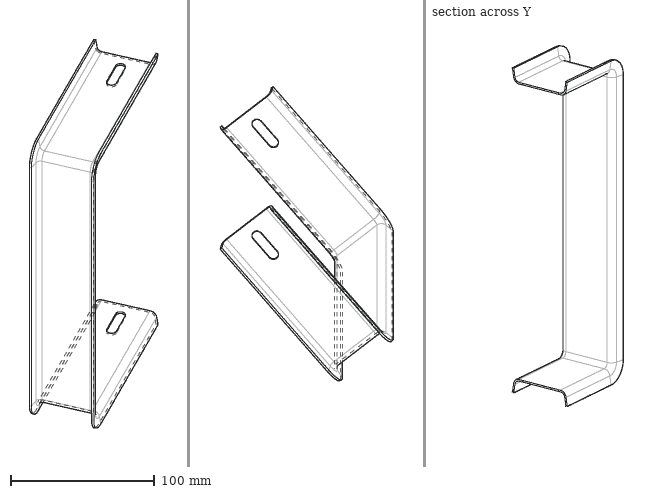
import cadquery as cq
import math

width = 47.9
leg_length = 133.0
height = 243.0

thickness = 1.6
channel_depth = 11.2
fold_inner_radius = 3.5
flange_splay = math.radians(9)

corner_radius = 14.8

slot_width = 7.0
slot_length = 25.0
slot_end_margin = 8.0

fold_outer_radius = fold_inner_radius + thickness
splay_sin = math.sin(flange_splay)
splay_cos = math.cos(flange_splay)
flange_length = (channel_depth - fold_outer_radius + fold_inner_radius * splay_sin) / splay_cos
fold_center_x = width / 2 - fold_outer_radius * splay_cos - flange_length * splay_sin

web_z = height / 2 - channel_depth


def fold_point(radius, angle, along_flange=0.0):
    """Right-hand section point: around the fold, then along the flange."""
    x = fold_center_x + radius * math.cos(angle) + along_flange * splay_sin
    depth = fold_outer_radius - radius * math.sin(angle) + along_flange * splay_cos
    return x, web_z + depth


def mirrored(point):
    return -point[0], point[1]


def channel_section():
    """Closed channel outline on the end face of the upper leg."""
    web_angle = math.pi / 2
    middle_angle = (web_angle + flange_splay) / 2
    outer = [fold_point(fold_outer_radius, a) for a in (web_angle, middle_angle, flange_splay)]
    inner = [fold_point(fold_inner_radius, a) for a in (flange_splay, middle_angle, web_angle)]
    outer_tip = fold_point(fold_outer_radius, flange_splay, flange_length)
    inner_tip = fold_point(fold_inner_radius, flange_splay, flange_length)

    end_plane = cq.Plane(origin=(0, leg_length, 0), xDir=(1, 0, 0), normal=(0, -1, 0))
    return (
        cq.Workplane(end_plane)
        .moveTo(*mirrored(outer[0]))
        .lineTo(*outer[0])
        .threePointArc(outer[1], outer[2])
        .lineTo(*outer_tip)
        .lineTo(*inner_tip)
        .lineTo(*inner[0])
        .threePointArc(inner[1], inner[2])
        .lineTo(*mirrored(inner[2]))
        .threePointArc(mirrored(inner[1]), mirrored(inner[0]))
        .lineTo(*mirrored(inner_tip))
        .lineTo(*mirrored(outer_tip))
        .lineTo(*mirrored(outer[2]))
        .threePointArc(mirrored(outer[1]), mirrored(outer[0]))
        .close()
    )


def bracket_path():
    """Upper leg, back and lower leg along the web face inside the U."""
    path_radius = corner_radius - channel_depth
    back_end_z = web_z - path_radius
    return (
        cq.Workplane("YZ")
        .moveTo(leg_length, web_z)
        .lineTo(corner_radius, web_z)
        .radiusArc((channel_depth, back_end_z), -path_radius)
        .lineTo(channel_depth, -back_end_z)
        .radiusArc((corner_radius, -web_z), -path_radius)
        .lineTo(leg_length, -web_z)
    )


def slot_cutter():
    """Vertical slot passing through both legs."""
    center_y = leg_length - slot_end_margin - slot_length / 2
    return (
        cq.Workplane("XY")
        .center(0, center_y)
        .slot2D(slot_length, slot_width, 90)
        .extrude(height / 2, both=True)
    )


result = channel_section().sweep(bracket_path()).cut(slot_cutter())